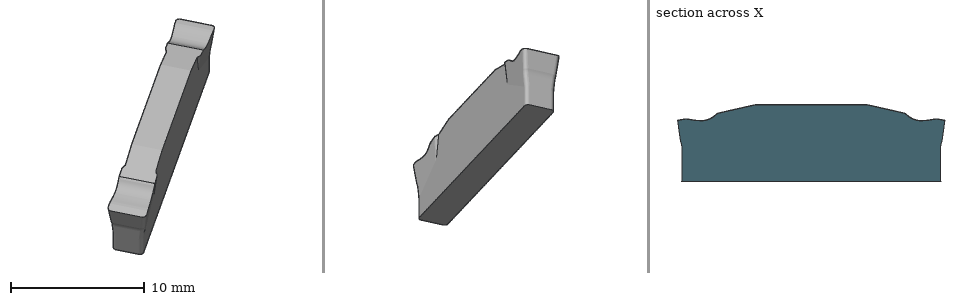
import cadquery as cq
import math


total_width = 3.0
total_length = 20.07
total_height = 5.78
half_length = total_length / 2

shank_width = 2.37
shank_half = shank_width / 2
shank_end_depth = 0.32
crest_depth = 5.87
top_slope_angle = 12.7

cutting_edge = (0.0, 4.60)
land_end = (0.605, 4.71)
land_back = (0.85, 4.69)
groove_wall_end = (1.15, 4.637)
groove_blend_end = (1.55, 4.593)
groove_blend_radius = 2.8
groove_floor_end = (1.85, 4.58)
back_wall_top = (2.89, 5.04)
back_wall_radius = 1.55
brow_depth = 3.06

relief_bottom_height = 3.02
relief_angle = 8.0
relief_foot_height = 2.58

flank_front_height = 1.63
apex_depth = 3.66
apex_height = 3.36
ramp_top_depth = 4.10
ramp_top_height = 5.37
ramp_slope = 0.60
ramp_blend_radius = 0.2
corner_radius = 0.3

margin = 1.0


def side_point(depth, height):
    """Place a (depth, height) point of the +Y end in the YZ plane."""
    return (half_length - depth, height)


def flank_half_width(depth, height):
    """Half width of the head on its flank plane, which reaches full width at the rounded corner."""
    run_out_depth = shank_end_depth + corner_radius
    run_out_slope = (apex_height - flank_front_height) / (apex_depth - run_out_depth)

    def above_run_out(d, h):
        """Rise above the line where the flank meets the shank side."""
        return h - flank_front_height - run_out_slope * (d - run_out_depth)

    land_slope = (land_end[1] - cutting_edge[1]) / land_end[0]
    corner_height = cutting_edge[1] + land_slope * corner_radius
    overhang = total_width / 2 - shank_half
    taper = overhang / above_run_out(corner_radius, corner_height)
    return shank_half + taper * above_run_out(depth, height)


def make_side_profile():
    """Half of the insert's side outline, from Y = 0 to the +Y end, as a full-width plate."""
    relief_depth = (cutting_edge[1] - relief_bottom_height) * math.tan(math.radians(relief_angle))
    brow_drop = (crest_depth - brow_depth) * math.tan(math.radians(top_slope_angle))

    foot_rise = relief_bottom_height - relief_foot_height
    foot_run = shank_end_depth - relief_depth
    foot_radius = (foot_rise**2 + foot_run**2) / (2 * foot_run)

    return (
        cq.Workplane("YZ")
        .moveTo(0, 0)
        .lineTo(*side_point(shank_end_depth, 0))
        .lineTo(*side_point(shank_end_depth, relief_foot_height))
        .radiusArc(side_point(relief_depth, relief_bottom_height), foot_radius)
        .lineTo(*side_point(*cutting_edge))
        .lineTo(*side_point(*land_end))
        .lineTo(*side_point(*land_back))
        .lineTo(*side_point(*groove_wall_end))
        .radiusArc(side_point(*groove_blend_end), groove_blend_radius)
        .lineTo(*side_point(*groove_floor_end))
        .radiusArc(side_point(*back_wall_top), back_wall_radius)
        .lineTo(*side_point(brow_depth, total_height - brow_drop))
        .lineTo(*side_point(crest_depth, total_height))
        .lineTo(0, total_height)
        .close()
        .extrude(total_width, both=True)
    )


def head_section(height):
    """Horizontal outline of the head at one height: two flanks, each with a ramp behind."""
    front_depth = -margin
    core_half = shank_half / 2
    ramp_lean = (ramp_top_depth - apex_depth) / (ramp_top_height - apex_height)
    ramp_foot = apex_depth + ramp_lean * (height - apex_height)

    flank_slope = flank_half_width(1, height) - flank_half_width(0, height)
    flank_excess = flank_half_width(ramp_foot, height) - shank_half
    edge_depth = ramp_foot - flank_excess / (ramp_slope + flank_slope)
    core_depth = ramp_foot + (shank_half - core_half) / ramp_slope

    side = [
        (flank_half_width(front_depth, height), half_length - front_depth),
        (flank_half_width(edge_depth, height), half_length - edge_depth),
        (core_half, half_length - core_depth),
    ]
    other_side = [(-x, y) for x, y in reversed(side)]
    return [cq.Vector(x, y, height) for x, y in side + other_side]


def make_head():
    """Head block at the +Y end, reaching above and below its final outline."""
    bottom = flank_front_height - margin
    top = total_height
    wires = [cq.Wire.makePolygon(head_section(z), close=True) for z in (bottom, top)]
    block = cq.Workplane(cq.Solid.makeLoft(wires, True))

    ramp_edges = cq.selectors.BoxSelector(
        (-total_width, half_length - ramp_top_depth, bottom),
        (total_width, half_length - brow_depth, top),
    )
    return block.edges("not #Z").edges(ramp_edges).fillet(ramp_blend_radius)


def make_half():
    """The +Y half of the insert, with rounded end corners."""
    shank = cq.Workplane("XY").box(
        shank_width, half_length + margin, total_height, centered=(True, False, False)
    )
    blank = shank.union(make_head()).intersect(make_side_profile())

    end_corners = cq.selectors.BoxSelector(
        (-total_width, half_length - 2 * shank_end_depth, 0),
        (total_width, half_length, cutting_edge[1]),
    )
    return blank.edges("not |X").edges(end_corners).fillet(corner_radius)


half = make_half()
result = half.union(half.mirror("XZ"))